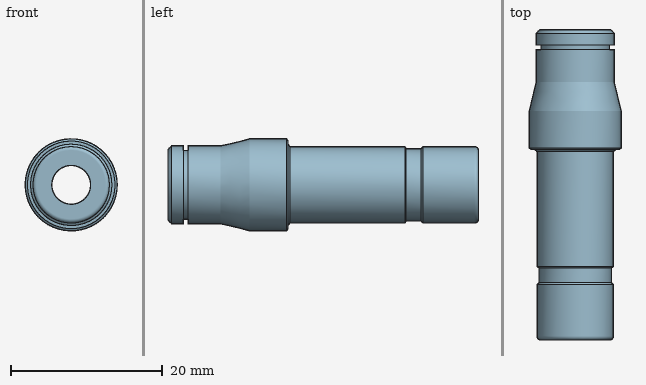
import cadquery as cq

length = 41.0
bore_radius = 2.55
shank_radius = 5.05
body_radius = 6.09
head_radius = 5.15

end_fillet = 0.5
shank_groove_start = 7.6
shank_groove_end = 9.7
shank_groove_radius = 4.8
groove_front_chamfer = 0.25
groove_rear_chamfer = 0.15

cone_start = 6.95
cone_end = 10.8
body_end = 15.65
shoulder = 15.85
shoulder_outer_radius = 5.8
shoulder_inner_radius = 5.37
neck_length = 0.25

head_chamfer = 0.5
head_groove_start = 2.05
head_groove_end = 2.65
head_groove_radius = 4.55

front = -length / 2
rear = length / 2


def turned_body():
    """Revolve the outer half profile, with the rounded front end."""
    profile = (
        cq.Workplane("XY")
        .moveTo(0, front)
        .lineTo(shank_radius - end_fillet, front)
        .radiusArc((shank_radius, front + end_fillet), -end_fillet)
        .lineTo(shank_radius, front + shank_groove_start - groove_front_chamfer)
        .lineTo(shank_groove_radius, front + shank_groove_start)
        .lineTo(shank_groove_radius, front + shank_groove_end - groove_rear_chamfer)
        .lineTo(shank_radius, front + shank_groove_end)
        .lineTo(shank_radius, rear - shoulder - neck_length)
        .lineTo(shoulder_inner_radius, rear - shoulder)
        .lineTo(shoulder_outer_radius, rear - shoulder)
        .lineTo(body_radius, rear - body_end)
        .lineTo(body_radius, rear - cone_end)
        .lineTo(head_radius, rear - cone_start)
        .lineTo(head_radius, rear - head_groove_end)
        .lineTo(head_groove_radius, rear - head_groove_end)
        .lineTo(head_groove_radius, rear - head_groove_start)
        .lineTo(head_radius, rear - head_groove_start)
        .lineTo(head_radius, rear - head_chamfer)
        .lineTo(head_radius - head_chamfer, rear)
        .lineTo(0, rear)
        .close()
    )
    return profile.revolve(360, (0, 0, 0), (0, 1, 0))


def through_bore():
    """Plain cylinder along the full length."""
    return cq.Workplane("XZ", origin=(0, rear, 0)).circle(bore_radius).extrude(length)


result = turned_body().cut(through_bore())